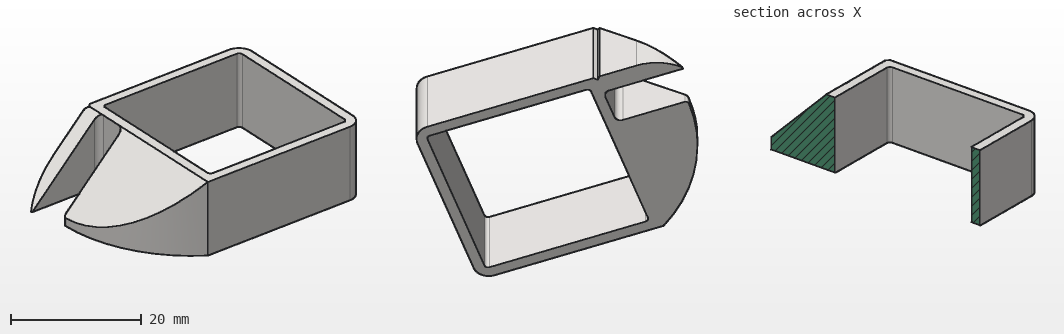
import cadquery as cq
import math

side = 30.0
height = 13.0
wall = 1.7
outer_radius = 2.5
inner_radius = 0.6
corner_chamfer = 0.5

slot_left = 3.0
slot_right = 9.0
slot_fillet = 1.0
prong_reach = height
narrow_straight = 6.5
narrow_arc_radius = 9.1
narrow_tip_x = 2.7
wide_reach = 11.55
wide_tip_fillet = 0.5


def make_tube():
    """Square ring with rounded back corners and one chamfered front corner."""
    outer = cq.Workplane("XY").rect(side, side, centered=False).extrude(height)
    outer = outer.edges("|Z and >Y").fillet(outer_radius)
    outer = outer.edges("|Z and <X and <Y").chamfer(corner_chamfer)
    opening = (
        cq.Workplane("XY")
        .center(side / 2, side / 2)
        .rect(side - 2 * wall, side - 2 * wall)
        .extrude(height)
        .edges("|Z")
        .fillet(inner_radius)
    )
    return outer.cut(opening)


def make_narrow_prong():
    """Left prong, with an outer side that curves in to a narrow tip."""
    middle_y = -(narrow_straight + prong_reach) / 2
    middle_drop = -narrow_straight - middle_y
    middle_x = narrow_arc_radius - math.sqrt(narrow_arc_radius**2 - middle_drop**2)
    return (
        cq.Workplane("XY")
        .moveTo(corner_chamfer, 0)
        .lineTo(0, -corner_chamfer)
        .lineTo(0, -narrow_straight)
        .threePointArc((middle_x, middle_y), (narrow_tip_x, -prong_reach))
        .lineTo(slot_left, -prong_reach)
        .lineTo(slot_left, -slot_fillet)
        .radiusArc((slot_left + slot_fillet, 0), slot_fillet)
        .lineTo(slot_left + slot_fillet, wall / 2)
        .lineTo(corner_chamfer, wall / 2)
        .close()
        .extrude(height)
    )


def make_wide_prong():
    """Right prong, whose arc starts square to the slot and ends at the tube corner."""
    span = side - slot_right
    radius = (span**2 + wide_reach**2) / (2 * wide_reach)
    middle_x = slot_right + span / 2
    middle_y = radius - wide_reach - math.sqrt(radius**2 - (span / 2) ** 2)
    blade = (
        cq.Workplane("XY")
        .moveTo(slot_right, 0)
        .lineTo(slot_right, -wide_reach)
        .threePointArc((middle_x, middle_y), (side, 0))
        .close()
        .extrude(height)
        .edges("|Z and <Y")
        .fillet(wide_tip_fillet)
    )
    root = (
        cq.Workplane("XY")
        .moveTo(slot_right - slot_fillet, 0)
        .radiusArc((slot_right, -slot_fillet), slot_fillet)
        .lineTo(slot_right, wall / 2)
        .lineTo(slot_right - slot_fillet, wall / 2)
        .close()
        .extrude(height)
    )
    return blade.union(root)


def make_slope():
    """Wedge that limits the prongs to a 45 degree slope from the tube's top edge."""
    return (
        cq.Workplane("YZ")
        .moveTo(-prong_reach, 0)
        .lineTo(0, height)
        .lineTo(wall, height)
        .lineTo(wall, 0)
        .close()
        .extrude(side)
    )


prongs = make_narrow_prong().union(make_wide_prong()).intersect(make_slope())
result = make_tube().union(prongs)